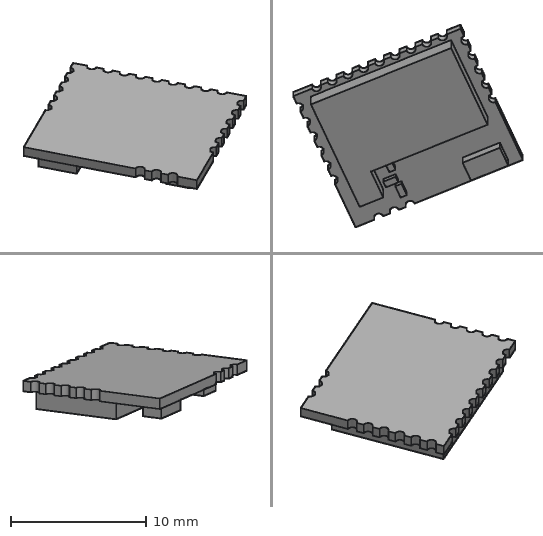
import cadquery as cq

board_length = 13.5
board_width = 11.5
board_thickness = 0.8
left_edge = -board_length / 2
right_edge = board_length / 2
front_edge = -board_width / 2
back_edge = board_width / 2

contact_radius = 0.35
contact_pitch = 1.27
first_column = left_edge + 1.46
first_row = back_edge - 1.0
back_contacts = 9
front_contacts = 3
left_contacts = 5
right_contacts = 6

package_height = 1.5
package_left = left_edge + 1.0
package_right = left_edge + 12.3
package_back = back_edge - 0.55
package_front = back_edge - 9.53
notch_right = left_edge + 10.4
notch_back = back_edge - 7.27

block_length = 3.0
block_width = 1.55
block_height = 1.0

chip_length = 1.0
chip_width = 0.5
chip_height = 0.5
rear_chip_left = left_edge + 8.85
rear_chip_front = notch_back - 0.97
middle_chip_left = left_edge + 9.07
middle_chip_front = back_edge - 9.26
front_chip_left = left_edge + 8.9
front_chip_front = back_edge - 10.45


def hanging_box(left, front, length, width, height):
    """Box hanging from the board underside, placed by its left front corner."""
    return cq.Workplane("XY").box(length, width, height, centered=False).translate((left, front, -height))


def contact_points():
    """Centres of all the half-round contacts, each lying on a board edge."""
    columns = [first_column + i * contact_pitch for i in range(back_contacts)]
    rows = [first_row - i * contact_pitch for i in range(right_contacts)]
    back = [(x, back_edge) for x in columns]
    front = [(x, front_edge) for x in columns[-front_contacts:]]
    left = [(left_edge, y) for y in rows[:left_contacts]]
    right = [(right_edge, y) for y in rows]
    return back + front + left + right


def make_board():
    plate = cq.Workplane("XY").rect(board_length, board_width).extrude(board_thickness)
    contacts = cq.Workplane("XY").pushPoints(contact_points()).circle(contact_radius).extrude(board_thickness)
    return plate.cut(contacts)


def make_package():
    outline = [
        (package_left, package_back),
        (package_right, package_back),
        (package_right, package_front),
        (notch_right, package_front),
        (notch_right, notch_back),
        (package_left, notch_back),
    ]
    return cq.Workplane("XY").polyline(outline).close().extrude(-package_height)


def make_block():
    return hanging_box(package_left, package_front - block_width, block_length, block_width, block_height)


def make_chips():
    rear = hanging_box(rear_chip_left, rear_chip_front, chip_width, chip_length, chip_height)
    middle = hanging_box(middle_chip_left, middle_chip_front, chip_length, chip_width, chip_height)
    front = hanging_box(front_chip_left, front_chip_front, chip_width, chip_length, chip_height)
    return [rear, middle, front]


result = make_board().union(make_package()).union(make_block())
for chip in make_chips():
    result = result.union(chip)